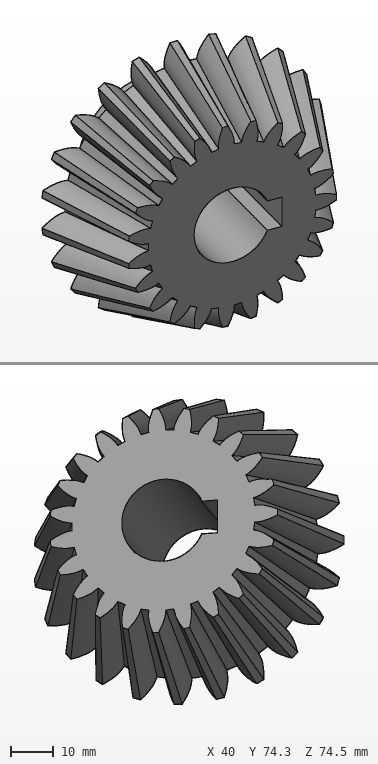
import cadquery as cq
import math

OVERALL_HEIGHT = 74.5

OVERALL_LENGTH = 40.0
HUB_PROJECTION = 15.0
FACE_WIDTH = OVERALL_LENGTH - HUB_PROJECTION

HUB_RADIUS = OVERALL_LENGTH / 2
HUB_FILLET_RADIUS = 5.0
BORE_RADIUS = HUB_RADIUS / 2
KEYWAY_WIDTH = 8.0
KEYWAY_REACH = 12.95

TOOTH_COUNT = 23
PITCH_ANGLE = 2 * math.pi / TOOTH_COUNT
TIP_HALF_ANGLE = math.radians(1.5)
TEETH_TO_TOP = 6
TOP_CORNER_ANGLE = TEETH_TO_TOP * PITCH_ANGLE - TIP_HALF_ANGLE
TIP_RADIUS = OVERALL_HEIGHT / 2 / math.sin(TOP_CORNER_ANGLE)
BASE_RADIUS = 31.65
ROOT_RADIUS = 31.05
ROOT_HALF_ANGLE = math.radians(5.4)
FLANK_SEGMENTS = 4

SMALL_TIP_RADIUS = 27.35
SMALL_ROOT_RADIUS = 22.0


def involute(radius):
    """Polar angle swept by an involute between the base circle and the given radius."""
    pressure_angle = math.acos(BASE_RADIUS / radius)
    return math.tan(pressure_angle) - pressure_angle


def half_tooth_angle(radius):
    return TIP_HALF_ANGLE + involute(TIP_RADIUS) - involute(radius)


def flank_profile():
    """(height, half angle) pairs up one flank; height runs from 0 at the root to 1 at the tip."""
    radial_step = (TIP_RADIUS - BASE_RADIUS) / FLANK_SEGMENTS
    involute_radii = [BASE_RADIUS + i * radial_step for i in range(FLANK_SEGMENTS)] + [TIP_RADIUS]
    tooth_depth = TIP_RADIUS - ROOT_RADIUS
    involute_part = [((r - ROOT_RADIUS) / tooth_depth, half_tooth_angle(r)) for r in involute_radii]
    return [(0.0, ROOT_HALF_ANGLE)] + involute_part


def add_gear_outline(plane, root_radius, tip_radius):
    """Closed outline of all teeth: smooth flanks, straight tips and straight root lands."""

    def place(height, angle):
        radius = root_radius + height * (tip_radius - root_radius)
        return (radius * math.cos(angle), radius * math.sin(angle))

    profile = flank_profile()
    outline = plane.moveTo(*place(0, -ROOT_HALF_ANGLE))
    for tooth in range(TOOTH_COUNT):
        middle = tooth * PITCH_ANGLE
        rising = [place(height, middle - angle) for height, angle in profile]
        falling = [place(height, middle + angle) for height, angle in reversed(profile)]
        if tooth > 0:
            outline = outline.lineTo(*rising[0])
        outline = outline.spline(rising[1:], includeCurrent=True)
        outline = outline.lineTo(*falling[0])
        outline = outline.spline(falling[1:], includeCurrent=True)
    return outline.close()


def toothed_body():
    back_face = cq.Workplane("YZ", origin=(HUB_PROJECTION, 0, 0))
    large_end = add_gear_outline(back_face, ROOT_RADIUS, TIP_RADIUS)
    front_face = large_end.workplane(offset=FACE_WIDTH)
    both_ends = add_gear_outline(front_face, SMALL_ROOT_RADIUS, SMALL_TIP_RADIUS)
    return both_ends.loft(ruled=True)


def hub():
    """Solid hub that flares into the back of the gear through a concave quarter-round."""
    fillet_start = HUB_PROJECTION - HUB_FILLET_RADIUS
    flare_radius = HUB_RADIUS + HUB_FILLET_RADIUS
    inset = HUB_FILLET_RADIUS * math.sqrt(0.5)
    return (
        cq.Workplane("XY")
        .lineTo(0, HUB_RADIUS)
        .lineTo(fillet_start, HUB_RADIUS)
        .threePointArc(
            (fillet_start + inset, flare_radius - inset),
            (HUB_PROJECTION, flare_radius),
        )
        .lineTo(HUB_PROJECTION, 0)
        .close()
        .revolve(360, (0, 0, 0), (1, 0, 0))
    )


def bore_with_keyway():
    bore = cq.Workplane("YZ").circle(BORE_RADIUS).extrude(OVERALL_LENGTH)
    keyway = cq.Workplane("XY").box(
        OVERALL_LENGTH, KEYWAY_REACH, KEYWAY_WIDTH, centered=(False, False, True)
    )
    return bore.union(keyway)


result = toothed_body().union(hub()).cut(bore_with_keyway())